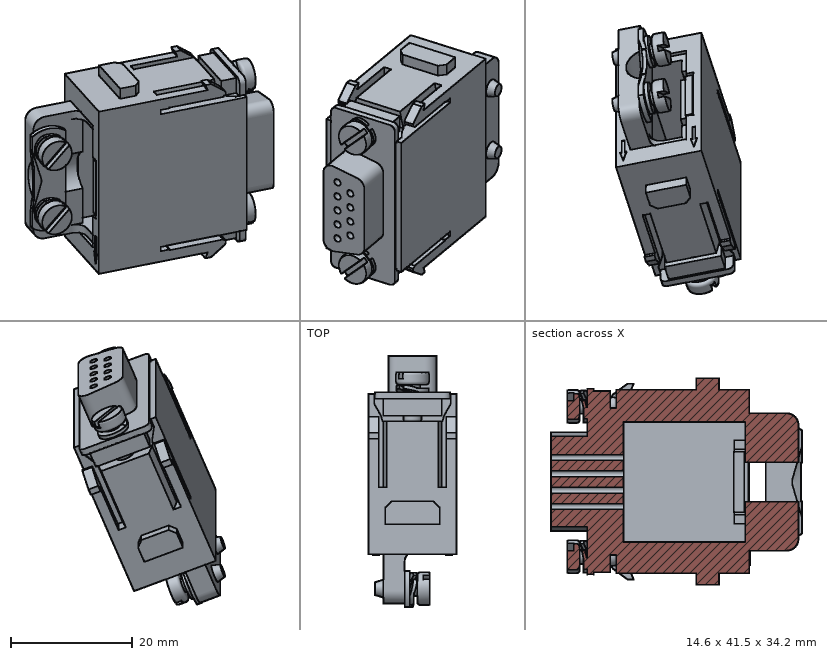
import cadquery as cq
import math


body_width = 14.6
body_height = 30.35
wall_length = 26.55
deck_length = 22.0
overall_height = 34.2
half_width = body_width / 2
half_height = body_height / 2

slot_start = 11.15
slot_floor = 12.4
arm_underside = 13.35
arm_root_underside = 13.2
arm_step = 12.7
arm_inner = 5.55
deck_half_top = 4.25
deck_half_floor = 4.8
arm_tip = 22.8
tip_lower_bevel_length = 0.5
tip_lower_bevel = 0.35
tip_upper_bevel_length = 0.25
tip_upper_bevel = 0.35
hook_height = 16.2
hook_slope_start = 14.4
hook_flat_back = 20.15
hook_flat_front = 19.1
hook_catch = 19.52

peg_front = 5.0
peg_back = 8.8
peg_chamfer = 1.05
upper_peg_width = 8.95
lower_peg_width = 6.9

clamp_z = -0.062
tongue_left = -4.8
tongue_right = -1.3
tongue_half_height = 11.4
tongue_front = -8.15
tongue_corner = 2.05
tongue_blend = 1.85
opening_right = 4.7
ledge_depth = 0.62
ledge_half_gap = 6.95
ledge_gap_depth = 2.5
cavity_left = -2.95
cavity_right = 3.82
cavity_half_height = 9.9
cavity_depth = 20.75
cable_radius = 3.8
cable_axis_x = 0.3

clip_recess_right = 5.95
clip_recess_half_height = 5.45
clip_left = 3.55
clip_step = 4.53
clip_right = 5.7
clip_half_height = 5.0
clip_top = 0.15
clip_step_depth = 0.85

plate_thickness = 0.87
plate_front = -8.72
plate_back = -2.7
plate_half_height = 9.5
plate_end_crown = 1.0
bow_half_height = 6.0
bow_outer_rise = 0.65
bow_inner_rise = 0.87
bow_depth = 1.65
bow_end_scale = 0.05
waist_half_height = 3.2
waist_depth = 0.15

head_diameter = 5.5
head_length = 2.08
head_round = 0.55
head_bevel_length = 0.35
head_bevel = 0.1
drive_slot_width = 0.9
drive_slot_depth = 1.1
shank_diameter = 2.5
nut_diameter = 3.0
nut_bevel_length = 0.35
nut_bevel = 0.1
washer_diameter = 5.3
washer_thickness = 0.62
washer_stack = 1.2
washer_bend = 0.95
clamp_screw_turn = 135
rear_screw_turn = 225
clamp_screw_y = -5.65
clamp_screw_offset = 6.0
stud_base_diameter = 3.0
stud_tip_diameter = 2.1
stud_tip = -6.25

flange_width = 12.4
flange_height = 30.75
flange_corner = 1.0
flange_front = 25.7
flange_back = 26.85
block_half_height = 15.0
block_front = 22.97
seat_half_outer = 6.35
seat_half_middle = 5.25
seat_half_inner = 4.95
seat_flare_start = 24.95
seat_depth = 0.25
shell_back = 32.8
shell_left = -4.0
shell_right = 4.0
shell_half_height = 8.2
shell_corner = 1.7
shell_slope = 10.0
contact_diameter = 1.2
contact_pitch = 2.7
contact_row_x = 1.25

arrow_x = 6.02
arrow_relief = 0.12
arrow_top = -8.8
arrow_neck = -11.8
arrow_tip = -13.85
arrow_half_shaft = 0.25
arrow_half_head = 0.55

overlap = 0.1


def box(x0, x1, y0, y1, z0, z1):
    """Block between two opposite corners."""
    return cq.Workplane("XY").box(x1 - x0, y1 - y0, z1 - z0, centered=False).translate((x0, y0, z0))


def side_profile(points, x0, x1):
    """Outline of (y, z) points extruded from x0 to x1."""
    return cq.Workplane("YZ", origin=(x0, 0, 0)).polyline(points).close().extrude(x1 - x0)


def front_profile(points, y0, y1):
    """Outline of (x, z) points extruded from y0 to y1."""
    return cq.Workplane("XZ", origin=(0, y0, 0)).polyline(points).close().extrude(y0 - y1)


def both_decks(shape):
    """The shape together with its mirror image on the lower deck."""
    return shape.union(shape.mirror("XY"))


def both_sides(shape):
    """The shape together with its mirror image on the other side."""
    return shape.union(shape.mirror("YZ"))


def latch_arm():
    outline = [
        (slot_start - overlap, arm_root_underside),
        (arm_step, arm_root_underside),
        (arm_step, arm_underside),
        (arm_tip - tip_lower_bevel_length, arm_underside),
        (arm_tip, arm_underside + tip_lower_bevel),
        (arm_tip, hook_slope_start - tip_upper_bevel),
        (arm_tip - tip_upper_bevel_length, hook_slope_start),
        (hook_flat_back, hook_height),
        (hook_flat_front, hook_height),
        (hook_catch, half_height),
        (slot_start - overlap, half_height),
    ]
    return side_profile(outline, -half_width, -arm_inner)


def housing():
    body = box(-half_width, half_width, 0, wall_length, -half_height, half_height)
    clearance = box(-half_width, half_width, slot_start, wall_length, slot_floor, half_height)
    body = body.cut(both_decks(clearance))
    deck = front_profile(
        [
            (-deck_half_floor, slot_floor - overlap),
            (deck_half_floor, slot_floor - overlap),
            (deck_half_floor, slot_floor),
            (deck_half_top, half_height),
            (-deck_half_top, half_height),
            (-deck_half_floor, slot_floor),
        ],
        slot_start - overlap,
        deck_length,
    )
    seat = (
        cq.Workplane("XY", origin=(0, 0, slot_floor - seat_depth))
        .moveTo(-seat_half_outer, wall_length)
        .lineTo(-seat_half_outer, seat_flare_start)
        .lineTo(-seat_half_middle, block_front)
        .lineTo(-seat_half_inner, deck_length)
        .lineTo(seat_half_inner, deck_length)
        .lineTo(seat_half_middle, block_front)
        .lineTo(seat_half_outer, seat_flare_start)
        .lineTo(seat_half_outer, wall_length)
        .close()
        .extrude(seat_depth)
    )
    return body.cut(both_decks(seat)).union(both_decks(deck)).union(both_decks(both_sides(latch_arm())))


def peg(width, sign):
    """Coding peg on the upper (sign 1) or lower (sign -1) deck."""
    block = box(-width / 2, width / 2, peg_front, peg_back, half_height - overlap, overall_height / 2)
    block = block.edges("|Z and >Y").chamfer(peg_chamfer)
    return block if sign > 0 else block.mirror("XY")


def front_opening():
    low = clamp_z - tongue_half_height
    high = clamp_z + tongue_half_height
    opening = box(tongue_left, opening_right, 0, ledge_depth, low, high)
    cavity = box(
        cavity_left, cavity_right, 0, cavity_depth,
        clamp_z - cavity_half_height, clamp_z + cavity_half_height,
    )
    gap = box(
        cavity_left, opening_right, 0, ledge_gap_depth,
        clamp_z - ledge_half_gap, clamp_z + ledge_half_gap,
    )
    clip_recess = box(
        cavity_left, clip_recess_right, 0, ledge_gap_depth,
        clamp_z - clip_recess_half_height, clamp_z + clip_recess_half_height,
    )
    return opening.union(cavity).union(gap).union(clip_recess)


def snap_clip():
    foot = ledge_gap_depth + overlap
    return (
        cq.Workplane("XY", origin=(0, 0, clamp_z - clip_half_height))
        .moveTo(clip_left, foot)
        .lineTo(clip_left, clip_step_depth)
        .lineTo(clip_step, clip_step_depth)
        .lineTo(clip_step, clip_top)
        .lineTo(clip_right, clip_top)
        .lineTo(clip_right, foot)
        .close()
        .extrude(2 * clip_half_height)
    )


def tongue():
    blend_end = tongue_right + tongue_blend
    blend_start = ledge_depth - tongue_blend
    middle = tongue_blend * (1 - math.sqrt(0.5))
    foot = ledge_depth + overlap
    bar = (
        cq.Workplane("XY", origin=(0, 0, clamp_z - tongue_half_height))
        .moveTo(tongue_left, tongue_front)
        .lineTo(tongue_right, tongue_front)
        .lineTo(tongue_right, blend_start)
        .threePointArc((tongue_right + middle, ledge_depth - middle), (blend_end, ledge_depth))
        .lineTo(blend_end, foot)
        .lineTo(tongue_left, foot)
        .close()
        .extrude(2 * tongue_half_height)
    )
    bar = bar.edges("|X and <Y").fillet(tongue_corner)
    bar = bar.cut(
        box(
            tongue_right, blend_end, blend_start, foot,
            clamp_z - cavity_half_height, clamp_z + cavity_half_height,
        )
    )
    channel = (
        cq.Workplane("XZ", origin=(cable_axis_x, tongue_front, clamp_z))
        .circle(cable_radius)
        .extrude(tongue_front - foot)
    )
    return bar.cut(channel)


def bow(base, rise):
    """Shallow half-cone on the face at x = base, tapering from the front edge to almost nothing."""
    end_half = bow_half_height * bow_end_scale
    return (
        cq.Workplane("XZ", origin=(base, plate_front, clamp_z))
        .moveTo(0, -bow_half_height)
        .threePointArc((rise, 0), (0, bow_half_height))
        .close()
        .workplane(offset=-bow_depth)
        .moveTo(0, -end_half)
        .threePointArc((rise * bow_end_scale, 0), (0, end_half))
        .close()
        .loft(ruled=True)
    )


def clamp_plate():
    left = tongue_right
    right = tongue_right + plate_thickness
    middle = (plate_front + plate_back) / 2
    shoulder = plate_half_height - plate_end_crown
    plate = (
        cq.Workplane("YZ", origin=(left, 0, clamp_z))
        .moveTo(plate_front, -shoulder)
        .lineTo(plate_front, shoulder)
        .threePointArc((middle, plate_half_height), (plate_back, shoulder))
        .lineTo(plate_back, -shoulder)
        .threePointArc((middle, -plate_half_height), (plate_front, -shoulder))
        .close()
        .extrude(plate_thickness)
    )
    plate = plate.union(bow(right, bow_outer_rise)).cut(bow(left, bow_inner_rise))
    waist = box(
        left, right + bow_outer_rise, plate_front, plate_front + waist_depth,
        clamp_z - waist_half_height, clamp_z + waist_half_height,
    )
    return plate.cut(waist)


def spring_washer():
    """Slit washer lying on the XY plane, its slit side bent up along +X to the screw head."""
    radius = washer_diameter / 2
    rise = washer_stack - washer_thickness
    strip = (
        cq.Workplane("XZ", origin=(0, radius, 0))
        .moveTo(-radius, 0)
        .lineTo(washer_bend, 0)
        .lineTo(radius, rise)
        .lineTo(radius, washer_stack)
        .lineTo(washer_bend, washer_thickness)
        .lineTo(-radius, washer_thickness)
        .close()
        .extrude(washer_diameter)
    )
    disc = cq.Workplane("XY").circle(radius).extrude(washer_stack)
    slit = box(0, radius, -drive_slot_width / 2, drive_slot_width / 2, 0, washer_stack)
    return strip.intersect(disc).cut(slit)


def screw():
    """Cheese-head screw with spring washer; the clamped face is the XY plane, the head points to +Z."""
    head_radius = head_diameter / 2
    top = washer_stack + head_length
    round_middle = head_round * (1 - math.sqrt(0.5))
    head = (
        cq.Workplane("XZ")
        .moveTo(0, washer_stack)
        .lineTo(head_radius - head_round, washer_stack)
        .threePointArc(
            (head_radius - round_middle, washer_stack + round_middle),
            (head_radius, washer_stack + head_round),
        )
        .lineTo(head_radius, top - head_bevel_length)
        .lineTo(head_radius - head_bevel, top)
        .lineTo(0, top)
        .close()
        .revolve(360, (0, 0, 0), (0, 1, 0))
    )
    drive_slot = (
        cq.Workplane("XY", origin=(0, 0, top - drive_slot_depth))
        .rect(2 * head_diameter, drive_slot_width)
        .extrude(drive_slot_depth)
    )
    shank = (
        cq.Workplane("XY", origin=(0, 0, -overlap))
        .circle(shank_diameter / 2)
        .extrude(washer_stack + 2 * overlap)
    )
    return head.cut(drive_slot).union(shank).union(spring_washer())


def clamp_screw(z):
    """Screw along +X through the clamp plate, with its tapered stud on the far side of the tongue."""
    fitted = (
        screw()
        .rotate((0, 0, 0), (0, 0, 1), clamp_screw_turn)
        .rotate((0, 0, 0), (0, 1, 0), 90)
        .translate((tongue_right + plate_thickness, clamp_screw_y, z))
    )
    stud = (
        cq.Workplane("YZ", origin=(tongue_left, clamp_screw_y, z))
        .circle(stud_base_diameter / 2)
        .workplane(offset=stud_tip - tongue_left)
        .circle(stud_tip_diameter / 2)
        .loft()
    )
    return fitted.union(stud)


def connector_shell():
    slope = math.radians(shell_slope)
    lean = (shell_right - shell_left) * math.tan(slope)
    sharp = shell_half_height + shell_corner * (math.tan(slope) + 1 / math.cos(slope) - 1)
    shell = front_profile(
        [
            (shell_right, -sharp),
            (shell_right, sharp),
            (shell_left, sharp - lean),
            (shell_left, lean - sharp),
        ],
        flange_back - overlap,
        shell_back,
    )
    return shell.edges("|Y").fillet(shell_corner)


def rear_connector():
    flange = box(
        -flange_width / 2, flange_width / 2, flange_front, flange_back,
        -flange_height / 2, flange_height / 2,
    )
    flange = flange.edges("|Y").fillet(flange_corner)
    block = box(
        -deck_half_floor, deck_half_floor, block_front, flange_front + overlap,
        -block_half_height, block_half_height,
    )
    connector = flange.union(block).union(connector_shell())
    for z in (-slot_floor, slot_floor):
        fitted = (
            screw()
            .rotate((0, 0, 0), (0, 0, 1), rear_screw_turn)
            .rotate((0, 0, 0), (1, 0, 0), -90)
            .translate((0, flange_back, z))
        )
        nut = (
            cq.Workplane("XZ", origin=(0, block_front + overlap, z))
            .circle(nut_diameter / 2)
            .extrude(block_front + overlap - deck_length - nut_bevel_length)
            .faces("<Y")
            .workplane()
            .circle(nut_diameter / 2)
            .workplane(offset=nut_bevel_length)
            .circle(nut_diameter / 2 - nut_bevel)
            .loft()
        )
        connector = connector.union(fitted).union(nut)
    return connector


def contact_holes():
    """Nine staggered through holes: five in the wide row, four in the narrow one."""
    centres = [(contact_row_x, i * contact_pitch) for i in range(-2, 3)]
    centres += [(-contact_row_x, (i + 0.5) * contact_pitch) for i in range(-2, 2)]
    return (
        cq.Workplane("XZ", origin=(0, cavity_depth - overlap, clamp_z))
        .pushPoints(centres)
        .circle(contact_diameter / 2)
        .extrude(cavity_depth - shell_back - 2 * overlap)
    )


def arrow():
    return front_profile(
        [
            (arrow_x - arrow_half_shaft, arrow_top),
            (arrow_x + arrow_half_shaft, arrow_top),
            (arrow_x + arrow_half_shaft, arrow_neck),
            (arrow_x + arrow_half_head, arrow_neck),
            (arrow_x, arrow_tip),
            (arrow_x - arrow_half_head, arrow_neck),
            (arrow_x - arrow_half_shaft, arrow_neck),
        ],
        -arrow_relief,
        overlap,
    )


result = housing().cut(front_opening())
result = result.union(peg(upper_peg_width, 1)).union(peg(lower_peg_width, -1))
result = result.union(snap_clip()).union(tongue()).union(clamp_plate())
for offset in (-clamp_screw_offset, clamp_screw_offset):
    result = result.union(clamp_screw(clamp_z + offset))
result = result.union(rear_connector()).cut(contact_holes())
result = result.union(both_sides(arrow()))